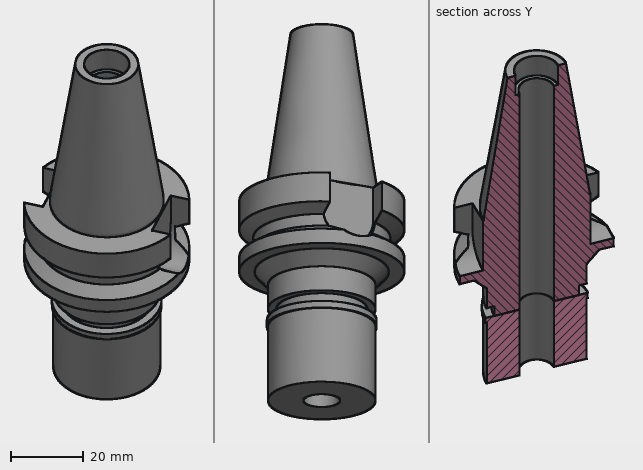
import cadquery as cq

collar_bottom = 21.9
nut_top = 23.8
neck_top = 27.1
shank_top = 34.3
flange_bottom = 38.2
groove_lower_edge = 42.4
groove_floor_bottom = 44.8
groove_floor_top = 48.2
groove_upper_edge = 50.5
flange_top = 59.1
gauge_plane = 60.0
total_height = 108.4

body_radius = 15.0
collar_radius = 15.3
neck_radius = 12.7
shoulder_radius = 18.6
flange_radius = 23.0
groove_radius = 19.1
taper_radius = 15.8
taper_ratio = 7 / 24
taper_tip_radius = taper_radius - (total_height - gauge_plane) * taper_ratio / 2

bore_radius = 5.1
counterbore_radius = 6.3
counterbore_depth = 7.0

slot_width = 16.0
slot_floor_x = 16.0
slot_bottom = 41.2


def cylinder(radius, bottom, top):
    """Upright cylinder on the Z axis between two heights."""
    return cq.Workplane("XY").workplane(offset=bottom).circle(radius).extrude(top - bottom)


def make_nut():
    """Clamping nut with a slightly larger collar at its top."""
    body = cylinder(body_radius, 0, collar_bottom)
    collar = cylinder(collar_radius, collar_bottom, nut_top)
    return body.union(collar).cut(cylinder(bore_radius, 0, nut_top))


def drive_slot(side):
    """Cutter for a round-bottomed slot, open upward and outward; side is -1 or +1."""
    half_width = slot_width / 2
    arc_center_z = slot_bottom + half_width
    return (
        cq.Workplane("YZ")
        .workplane(offset=side * slot_floor_x)
        .moveTo(-half_width, flange_top)
        .lineTo(-half_width, arc_center_z)
        .threePointArc((0, slot_bottom), (half_width, arc_center_z))
        .lineTo(half_width, flange_top)
        .close()
        .extrude(side * (flange_radius - slot_floor_x))
    )


def make_holder():
    """Tool holder: neck, shank, grooved flange and taper, with a stepped bore."""
    profile = [
        (0, nut_top),
        (neck_radius, nut_top),
        (neck_radius, neck_top),
        (body_radius, neck_top),
        (body_radius, shank_top),
        (shoulder_radius, flange_bottom),
        (flange_radius, flange_bottom),
        (flange_radius, groove_lower_edge),
        (groove_radius, groove_floor_bottom),
        (groove_radius, groove_floor_top),
        (flange_radius, groove_upper_edge),
        (flange_radius, flange_top),
        (taper_radius, flange_top),
        (taper_radius, gauge_plane),
        (taper_tip_radius, total_height),
        (0, total_height),
    ]
    holder = cq.Workplane("XZ").polyline(profile).close().revolve(360, (0, 0, 0), (0, 1, 0))
    for side in (-1, 1):
        holder = holder.cut(drive_slot(side))
    bore = cylinder(bore_radius, nut_top, total_height)
    counterbore = cylinder(counterbore_radius, total_height - counterbore_depth, total_height)
    return holder.cut(bore).cut(counterbore)


nut = make_nut()
holder = make_holder()

result = cq.Compound.makeCompound([nut.val(), holder.val()])